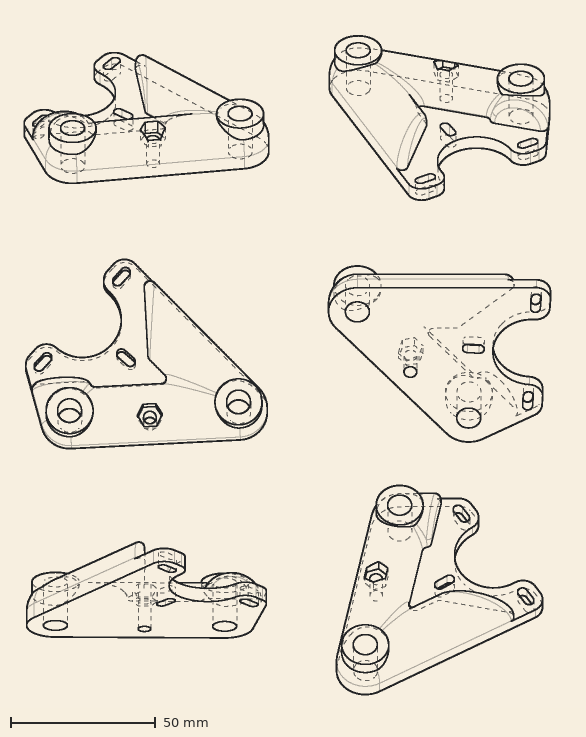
import cadquery as cq
import math

boss_spacing = 58.5
main_arm_angle = 60.0
boss_diameter = 16.3
boss_hole_diameter = 8.3
boss_top = 16.5

arm_radius = 10.0
arm_wall_height = 5.5
arm_edge_fillet = 2.0
arm_joint_fillet = 2.0

plate_thickness = 5.0
motor_x = -26.74
motor_y = 22.6
motor_angle = 15.0
motor_bore_radius = 13.5
motor_half_width = 22.0
corner_turn = 45.0

lobe_radius = 5.0
lobe_inner_distance = motor_bore_radius + lobe_radius
lobe_outer_distance = 21.8

slot_distance = 20.3
slot_width = 3.4
slot_travel = 4.1
slot_turns = (-90.0, 0.0, 90.0)

nut_x = 16.1
nut_y = 22.65
nut_across_flats = 7.5
nut_floor = 10.5
nut_hole_diameter = 4.4


def polar(center, distance, angle):
    """Point at a distance and an angle (degrees) from a center."""
    turn = math.radians(angle)
    return (center[0] + distance * math.cos(turn), center[1] + distance * math.sin(turn))


def heading(start, end):
    """Direction in degrees from one point to another."""
    return math.degrees(math.atan2(end[1] - start[1], end[0] - start[0]))


def tangent_normal(start, start_radius, end, end_radius):
    """Direction from both circle centers to their common tangent, on the right of start-to-end."""
    spread = math.degrees(math.acos((start_radius - end_radius) / math.dist(start, end)))
    return heading(start, end) - spread


def crossing(first, first_angle, second, second_angle):
    """Point where two lines meet, each given by a point and a direction in degrees."""
    turn = math.radians(second_angle - first_angle)
    offset = math.radians(second_angle - heading(first, second))
    return polar(first, math.dist(first, second) * math.sin(offset) / math.sin(turn), first_angle)


lower_boss = (0.0, 0.0)
upper_boss = polar(lower_boss, boss_spacing, main_arm_angle)
motor_center = (motor_x, motor_y)
upper_lobe_angle = motor_angle + 90.0
lower_lobe_angle = motor_angle - 90.0
upper_lobe_outer = polar(motor_center, lobe_outer_distance, upper_lobe_angle)
upper_lobe_inner = polar(motor_center, lobe_inner_distance, upper_lobe_angle)
lower_lobe_inner = polar(motor_center, lobe_inner_distance, lower_lobe_angle)
lower_lobe_outer = polar(motor_center, lobe_outer_distance, lower_lobe_angle)

main_edge_normal = main_arm_angle - 90.0
upper_edge_normal = tangent_normal(upper_boss, arm_radius, upper_lobe_outer, lobe_radius)
lower_edge_normal = tangent_normal(lower_lobe_outer, lobe_radius, lower_boss, arm_radius)
lobe_end_normal = motor_angle + 180.0

upper_arm_angle = upper_edge_normal + 90.0
lower_arm_angle = lower_edge_normal - 90.0


def add_arc(outline, center, radius, start_angle, end_angle):
    """Line to the start of an arc, then the arc itself."""
    middle = polar(center, radius, (start_angle + end_angle) / 2)
    end = polar(center, radius, end_angle)
    return outline.lineTo(*polar(center, radius, start_angle)).threePointArc(middle, end)


def make_plate():
    upper_start = upper_edge_normal % 360.0
    lower_end = lower_edge_normal % 360.0
    outline = cq.Workplane("XY").moveTo(*polar(lower_boss, arm_radius, main_edge_normal))
    outline = add_arc(outline, upper_boss, arm_radius, main_edge_normal, upper_start)
    outline = add_arc(outline, upper_lobe_outer, lobe_radius, upper_start, lobe_end_normal)
    bore_start = polar(motor_center, motor_bore_radius, upper_lobe_angle)
    bore_middle = polar(motor_center, motor_bore_radius, motor_angle)
    bore_end = polar(motor_center, motor_bore_radius, lower_lobe_angle)
    upper_corner = polar(upper_lobe_inner, lobe_radius, lobe_end_normal + corner_turn)
    lower_corner = polar(lower_lobe_inner, lobe_radius, lobe_end_normal - corner_turn)
    outline = outline.lineTo(*polar(upper_lobe_inner, lobe_radius, lobe_end_normal))
    outline = outline.threePointArc(upper_corner, bore_start)
    outline = outline.threePointArc(bore_middle, bore_end)
    outline = outline.threePointArc(lower_corner, polar(lower_lobe_inner, lobe_radius, lobe_end_normal))
    outline = add_arc(outline, lower_lobe_outer, lobe_radius, lobe_end_normal, lower_end)
    outline = add_arc(outline, lower_boss, arm_radius, lower_end, main_edge_normal + 360.0)
    return outline.close().extrude(plate_thickness)


def make_arm(start, angle, length):
    """Half-round bar standing on the base plane, starting square at a boss axis."""
    section = (
        cq.Workplane("YZ")
        .moveTo(-arm_radius, 0)
        .lineTo(arm_radius, 0)
        .lineTo(arm_radius, arm_wall_height)
        .threePointArc((0, arm_wall_height + arm_radius), (-arm_radius, arm_wall_height))
        .close()
    )
    arm = section.extrude(length)
    return arm.rotate((0, 0, 0), (0, 0, 1), angle).translate((*start, 0))


def make_arm_end(center):
    """Domed post that rounds off the arms at a boss."""
    post = (
        cq.Workplane("XZ")
        .lineTo(arm_radius, 0)
        .lineTo(arm_radius, arm_wall_height)
        .radiusArc((0, arm_wall_height + arm_radius), -arm_radius)
        .close()
        .revolve(360, (0, 0, 0), (0, 1, 0))
    )
    return post.translate((*center, 0))


def make_clearance():
    """Square block kept free for the motor, with one corner pointing between the two side arms."""
    side = 4 * motor_half_width
    block = cq.Workplane("XY").rect(side, side).extrude(boss_top)
    block = block.translate((motor_half_width - side / 2, motor_half_width - side / 2, 0))
    return block.rotate((0, 0, 0), (0, 0, 1), motor_angle - corner_turn).translate((*motor_center, 0))


def fillet_upright(body, corner, radius):
    """Round the upright edge at a corner; the fillet runs on over the crown it is tangent to."""
    edge_middle = (*corner, arm_wall_height / 2)
    return body.edges(cq.selectors.NearestToPointSelector(edge_middle)).fillet(radius)


def make_arms():
    arms = make_arm(lower_boss, main_arm_angle, boss_spacing)
    arms = arms.union(make_arm(upper_boss, upper_arm_angle, boss_spacing))
    arms = arms.union(make_arm(lower_boss, lower_arm_angle, boss_spacing))
    for boss in (lower_boss, upper_boss):
        arms = arms.union(make_arm_end(boss))
    arms = arms.cut(make_clearance())

    main_wall = polar(lower_boss, -arm_radius, main_edge_normal)
    side_arms = (
        (upper_boss, upper_edge_normal, motor_angle + corner_turn),
        (lower_boss, lower_edge_normal, motor_angle - corner_turn),
    )
    for boss, outer_normal, trim_normal in side_arms:
        wall_angle = outer_normal + 90.0
        inner_wall = polar(boss, -arm_radius, outer_normal)
        outer_wall = polar(boss, arm_radius, outer_normal)
        trim_face = polar(motor_center, motor_half_width, trim_normal)
        joint_corner = crossing(main_wall, main_arm_angle, inner_wall, wall_angle)
        end_corner = crossing(trim_face, trim_normal + 90.0, outer_wall, wall_angle)
        arms = fillet_upright(arms, joint_corner, arm_joint_fillet)
        arms = fillet_upright(arms, end_corner, arm_edge_fillet)
    return arms


def make_boss(center):
    return cq.Workplane("XY").center(*center).circle(boss_diameter / 2).extrude(boss_top)


def make_bore(center, diameter):
    return cq.Workplane("XY").center(*center).circle(diameter / 2).extrude(boss_top)


def make_slot(turn):
    """Radial through slot at an angle around the motor axis."""
    angle = motor_angle + turn
    slot = cq.Workplane("XY").slot2D(slot_travel + slot_width, slot_width, angle).extrude(plate_thickness)
    return slot.translate((*polar(motor_center, slot_distance, angle), 0))


def make_nut_trap():
    """Hexagonal pocket open at the top."""
    across_corners = nut_across_flats / math.cos(math.radians(30.0))
    trap = cq.Workplane("XY", origin=(nut_x, nut_y, nut_floor))
    return trap.polygon(6, across_corners).extrude(boss_top - nut_floor)


result = make_plate().union(make_arms())
for boss_center in (lower_boss, upper_boss):
    result = result.union(make_boss(boss_center)).cut(make_bore(boss_center, boss_hole_diameter))
for slot_turn in slot_turns:
    result = result.cut(make_slot(slot_turn))
result = result.cut(make_nut_trap()).cut(make_bore((nut_x, nut_y), nut_hole_diameter))